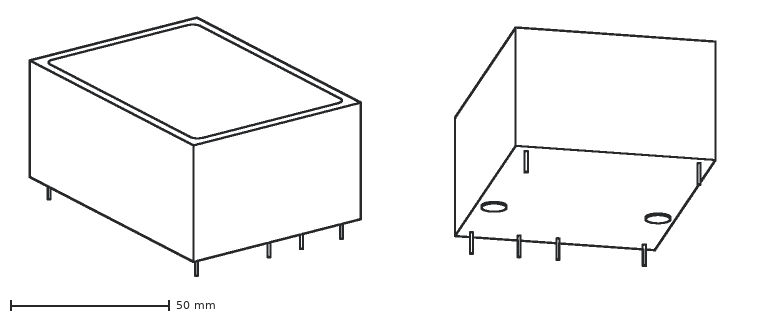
import cadquery as cq

LENGTH = 90.2
WIDTH = 64.7
OVERALL_HEIGHT = 46.5
PIN_LENGTH = 6.95
HEIGHT = OVERALL_HEIGHT - PIN_LENGTH

END_RIM = 3.7
SIDE_RIM = 3.3
COVER_LENGTH = LENGTH - 2 * END_RIM
COVER_WIDTH = WIDTH - 2 * SIDE_RIM
COVER_CORNER_RADIUS = 3.0
COVER_THICKNESS = 1.8

PIN_DIAMETER = 1.0
PIN_ROW_X = 40.6
OUTER_PIN_Y = 28.0
OFFSET_PIN_Y = 12.5
LEFT_PINS = [(-PIN_ROW_X, y) for y in (-OUTER_PIN_Y, OUTER_PIN_Y)]
RIGHT_PINS = [(PIN_ROW_X, y) for y in (-OUTER_PIN_Y, 0, OFFSET_PIN_Y, OUTER_PIN_Y)]

PAD_DIAMETER = 7.9
PAD_HEIGHT = 0.5
PAD_X = 13.7
PAD_Y = 26.5


def make_cover():
    """Flat rounded plate whose top is level with the housing rim."""
    return (
        cq.Workplane("XY", origin=(0, 0, HEIGHT - COVER_THICKNESS))
        .rect(COVER_LENGTH, COVER_WIDTH)
        .extrude(COVER_THICKNESS)
        .edges("|Z")
        .fillet(COVER_CORNER_RADIUS)
    )


def make_housing(cover):
    """Rectangular block with a recess that fits the cover."""
    block = cq.Workplane("XY").box(LENGTH, WIDTH, HEIGHT, centered=(True, True, False))
    return block.cut(cover)


def make_pin(x, y):
    """Round pin hanging from the underside of the housing."""
    return cq.Workplane("XY").center(x, y).circle(PIN_DIAMETER / 2).extrude(-PIN_LENGTH)


def make_pad(x, y):
    """Thin disc on the underside of the housing."""
    return cq.Workplane("XY").center(x, y).circle(PAD_DIAMETER / 2).extrude(-PAD_HEIGHT)


cover = make_cover()
housing = make_housing(cover)
pins = [make_pin(x, y).val() for x, y in LEFT_PINS + RIGHT_PINS]
pads = [make_pad(PAD_X, y).val() for y in (-PAD_Y, PAD_Y)]

result = cq.Compound.makeCompound([housing.val(), cover.val(), *pins, *pads])